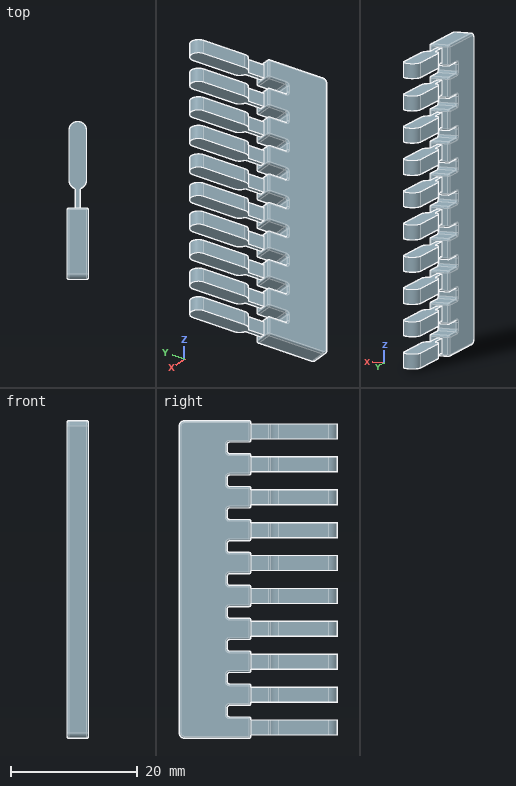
import cadquery as cq
import math

height = 50.2
total_depth = 25.0
thickness = 3.4

body_depth = 11.35
finger_count = 10
finger_height = 3.4
slot_depth = 3.7
edge_radius = 0.3
back_corner_radius = 0.85
slot_corner_radius = 0.35

pin_width = 2.8
pin_height = 2.4
neck_width = 0.8
blade_length = 9.3
neck_fillet = 0.3
neck_embed = 1.0

finger_pitch = (height - finger_height) / (finger_count - 1)
slot_height = finger_pitch - finger_height
slot_floor_y = body_depth - slot_depth


def finger_center(index):
    return finger_height / 2 + index * finger_pitch


def make_body():
    """Block with slots cut into the +Y side and all its edges rounded."""
    body = cq.Workplane("XY").box(thickness, body_depth, height, centered=(True, False, False))
    slot = (
        cq.Workplane("XY")
        .box(thickness, slot_depth, slot_height, centered=(True, False, True))
        .edges("|X and <Y")
        .fillet(slot_corner_radius)
    )
    for index in range(finger_count - 1):
        slot_z = finger_center(index) + finger_pitch / 2
        body = body.cut(slot.translate((0, slot_floor_y, slot_z)))

    body = body.edges("|X and <Y").fillet(back_corner_radius)
    return body.faces("<X or >X or >Y").edges().fillet(edge_radius)


def make_pin():
    """Blade with round ends on a narrow neck, centred on Z = 0."""
    blade_radius = pin_width / 2
    half_neck = neck_width / 2
    tip_y = total_depth
    tip_center_y = tip_y - blade_radius
    shoulder_y = tip_y - blade_length
    neck_start_y = body_depth - neck_embed

    hollow_x = half_neck + neck_fillet
    center_distance = blade_radius + neck_fillet
    hollow_drop = math.sqrt(center_distance**2 - hollow_x**2)
    hollow_y = shoulder_y - hollow_drop
    tangent_x = hollow_x * blade_radius / center_distance
    tangent_y = shoulder_y - hollow_drop * blade_radius / center_distance

    shoulder_angle = math.atan2(hollow_drop, hollow_x) / 2
    shoulder_mid_x = blade_radius * math.cos(shoulder_angle)
    shoulder_mid_y = shoulder_y - blade_radius * math.sin(shoulder_angle)
    hollow_mid_x = hollow_x - neck_fillet * math.cos(shoulder_angle)
    hollow_mid_y = hollow_y + neck_fillet * math.sin(shoulder_angle)

    return (
        cq.Workplane("XY", origin=(0, 0, -pin_height / 2))
        .moveTo(half_neck, neck_start_y)
        .lineTo(half_neck, hollow_y)
        .threePointArc((hollow_mid_x, hollow_mid_y), (tangent_x, tangent_y))
        .threePointArc((shoulder_mid_x, shoulder_mid_y), (blade_radius, shoulder_y))
        .lineTo(blade_radius, tip_center_y)
        .threePointArc((0, tip_y), (-blade_radius, tip_center_y))
        .lineTo(-blade_radius, shoulder_y)
        .threePointArc((-shoulder_mid_x, shoulder_mid_y), (-tangent_x, tangent_y))
        .threePointArc((-hollow_mid_x, hollow_mid_y), (-half_neck, hollow_y))
        .lineTo(-half_neck, neck_start_y)
        .close()
        .extrude(pin_height)
    )


result = make_body()
pin = make_pin()
for index in range(finger_count):
    result = result.union(pin.translate((0, 0, finger_center(index))))